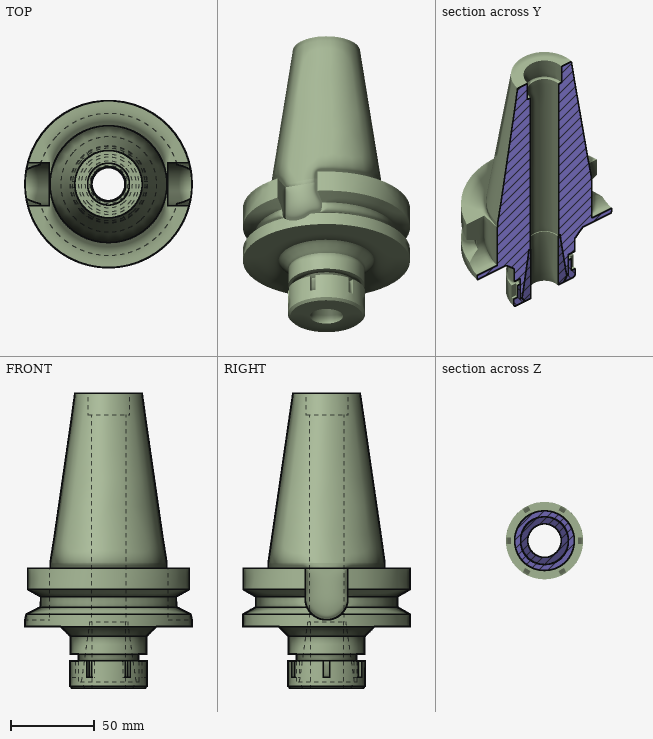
import cadquery as cq
import math


total_height = 176.8

taper_length = 101.8
taper_radius = 35.0
taper_ratio = 7 / 24
taper_top_radius = taper_radius - taper_length * taper_ratio / 2
gauge_z = total_height - taper_length

flange_radius = 50.0
flange_gap = 3.0
flange_top_z = gauge_z - flange_gap
flange_thickness = 35.0
flange_bottom_z = flange_top_z - flange_thickness
upper_rim_height = 12.7
lower_rim_height = 7.5
groove_radius = 42.6
groove_flank_height = 4.2

slot_flat_x = 35.4
slot_width = 25.6
slot_depth = 31.0

nose_radius = 22.8
nose_cone_height = 5.8
nose_cone_radius = nose_radius + nose_cone_height
nose_bottom_z = 20.5
spigot_radius = 18.0

bore_radius = 10.5
counterbore_radius = 12.5
counterbore_depth = 13.0

nut_radius = 23.2
nut_height = 16.5
nut_chamfer = 1.5
nut_slot_count = 6
nut_slot_width = 3.7
nut_slot_length = 9.7
nut_slot_floor_radius = 20.0

collet_length = 40.0
collet_radius = 16.5
collet_bore_radius = 9.9
collet_head_height = 4.0
collet_head_angle = 30.0
collet_body_angle = 8.0
collet_mouth_radius = collet_radius - collet_head_height * math.tan(math.radians(collet_head_angle))
collet_body_length = collet_length - collet_head_height
collet_top_radius = collet_radius - collet_body_length * math.tan(math.radians(collet_body_angle))

profile_plane = cq.Plane(origin=(0, 0, 0), xDir=(0, -1, 0), normal=(-1, 0, 0))


def turned(profile):
    """Revolve a closed (radius, height) outline about the Z axis."""
    return cq.Workplane(profile_plane).polyline(profile).close().revolve(360, (0, 0), (0, 1))


def collet_envelope():
    """Outer shape of the collet, also used to form the seats that hold it."""
    return turned([
        (0, 0),
        (collet_mouth_radius, 0),
        (collet_radius, collet_head_height),
        (collet_top_radius, collet_length),
        (0, collet_length),
    ])


def drive_slot():
    """Round-bottomed slot cutter, open to the flange top and the +X side."""
    end_radius = slot_width / 2
    bottom_z = flange_top_z - slot_depth
    return (
        cq.Workplane("YZ", origin=(slot_flat_x, 0, 0))
        .moveTo(-end_radius, flange_top_z)
        .lineTo(-end_radius, bottom_z + end_radius)
        .threePointArc((0, bottom_z), (end_radius, bottom_z + end_radius))
        .lineTo(end_radius, flange_top_z)
        .close()
        .extrude(flange_radius - slot_flat_x)
    )


def make_holder():
    upper_rim_z = flange_top_z - upper_rim_height
    lower_rim_z = flange_bottom_z + lower_rim_height
    body = turned([
        (0, total_height),
        (taper_top_radius, total_height),
        (taper_radius, gauge_z),
        (taper_radius, flange_top_z),
        (flange_radius, flange_top_z),
        (flange_radius, upper_rim_z),
        (groove_radius, upper_rim_z - groove_flank_height),
        (groove_radius, lower_rim_z + groove_flank_height),
        (flange_radius, lower_rim_z),
        (flange_radius, flange_bottom_z),
        (nose_cone_radius, flange_bottom_z),
        (nose_radius, flange_bottom_z - nose_cone_height),
        (nose_radius, nose_bottom_z),
        (spigot_radius, nose_bottom_z),
        (spigot_radius, collet_head_height),
        (0, collet_head_height),
    ])
    counterbore_z = total_height - counterbore_depth
    bore = turned([
        (0, collet_head_height),
        (bore_radius, collet_head_height),
        (bore_radius, counterbore_z),
        (counterbore_radius, counterbore_z),
        (counterbore_radius, total_height),
        (0, total_height),
    ])
    body = body.cut(bore).cut(collet_envelope())
    for angle in (0, 180):
        body = body.cut(drive_slot().rotate((0, 0, 0), (0, 0, 1), angle))
    return body


def make_nut():
    body = turned([
        (0, 0),
        (nut_radius - nut_chamfer, 0),
        (nut_radius, nut_chamfer),
        (nut_radius, nut_height),
        (spigot_radius, nut_height),
        (spigot_radius, collet_head_height),
        (0, collet_head_height),
    ])
    body = body.cut(collet_envelope())
    wrench_slot = (
        cq.Workplane("XY", origin=(nut_slot_floor_radius, 0, nut_height - nut_slot_length))
        .box(nut_radius - nut_slot_floor_radius, nut_slot_width, nut_slot_length,
             centered=(False, True, False))
    )
    for index in range(nut_slot_count):
        angle = index * 360 / nut_slot_count
        body = body.cut(wrench_slot.rotate((0, 0, 0), (0, 0, 1), angle))
    return body


def make_collet():
    bore = cq.Workplane("XY").circle(collet_bore_radius).extrude(collet_length)
    return collet_envelope().cut(bore)


holder = make_holder()
nut = make_nut()
collet = make_collet()

result = cq.Compound.makeCompound([holder.val(), nut.val(), collet.val()])